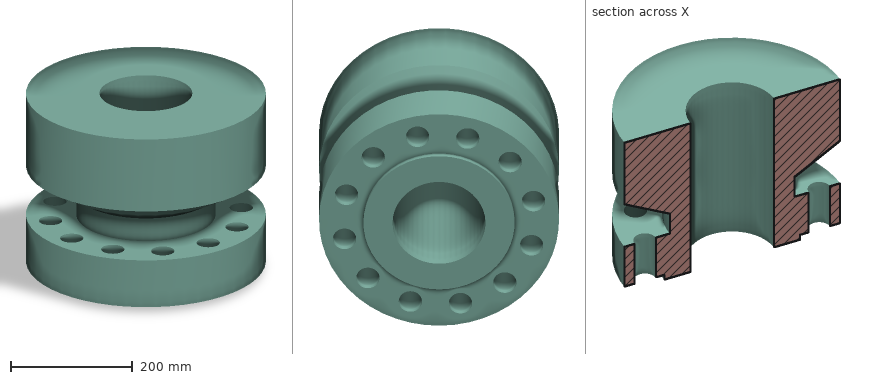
import cadquery as cq

outer_diameter = 393.5
neck_diameter = 228.5
raised_face_diameter = 248.0
bore_diameter = 152.5

total_height = 307.8
raised_face_height = 10.0
flange_thickness = 83.0
neck_height = 40.0
cone_height = 47.0

bolt_count = 12
bolt_circle_diameter = 317.5
bolt_hole_diameter = 38.0

flange_top = raised_face_height + flange_thickness
neck_top = flange_top + neck_height
cone_top = neck_top + cone_height


def revolved_body():
    """Raised face, flange, neck, cone and upper block, bored along Z."""
    bore_radius = bore_diameter / 2
    neck_radius = neck_diameter / 2
    raised_face_radius = raised_face_diameter / 2
    outer_radius = outer_diameter / 2
    half_section = [
        (bore_radius, 0),
        (raised_face_radius, 0),
        (raised_face_radius, raised_face_height),
        (outer_radius, raised_face_height),
        (outer_radius, flange_top),
        (neck_radius, flange_top),
        (neck_radius, neck_top),
        (outer_radius, cone_top),
        (outer_radius, total_height),
        (bore_radius, total_height),
    ]
    return cq.Workplane("XZ").polyline(half_section).close().revolve(360, (0, 0, 0), (0, 1, 0))


def bolt_holes():
    """Ring of cylinders spanning the flange thickness, the first one on the +X axis."""
    return (
        cq.Workplane("XY")
        .workplane(offset=raised_face_height)
        .polarArray(bolt_circle_diameter / 2, 0, 360, bolt_count)
        .circle(bolt_hole_diameter / 2)
        .extrude(flange_thickness)
    )


result = revolved_body().cut(bolt_holes())